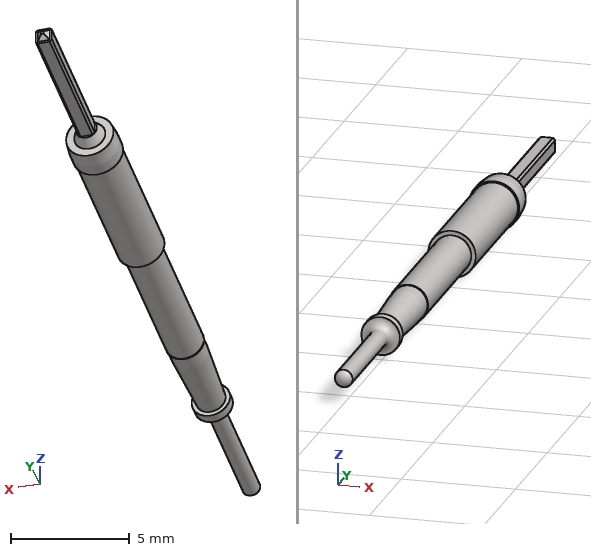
import cadquery as cq
import math

length = 32.5
tip_length = 0.23
round_tip_y = -length / 2
square_tip_y = length / 2
round_pin_end_y = round_tip_y + tip_length
square_pin_end_y = square_tip_y - tip_length
flare_start_y = -10.55
flange_front_y = -10.2
flange_back_y = -9.75
taper_start_y = -6.47
sleeve_end_y = -5.75
body_front_y = 1.05
ring_front_y = 7.67
ring_back_y = 8.25
body_back_y = 8.95
square_cone_y = 9.42

round_pin_radius = 0.4
flange_radius = 0.85
sleeve_radius = 0.85
neck_radius = 0.8
taper_small_radius = 0.65
body_radius = 1.05
ring_radius = 1.1
square_cone_base_radius = 0.68
square_cone_top_radius = 0.45

square_width = 0.7
square_corner_chamfer = 0.1
square_tip_width = 0.13


def turned_body():
    """Domed round pin, flared flange, tapered neck, sleeve and ringed body turned about the Y axis."""
    dome_radius = (round_pin_radius**2 + tip_length**2) / (2 * tip_length)
    dome_mid_radius = round_pin_radius / 2
    dome_mid_y = round_tip_y + dome_radius - math.sqrt(dome_radius**2 - dome_mid_radius**2)
    flare_mid_radius = flange_radius - (flange_radius - round_pin_radius) * math.sqrt(0.5)
    flare_mid_y = flare_start_y + (flange_front_y - flare_start_y) * math.sqrt(0.5)
    profile = (
        cq.Workplane("XY")
        .moveTo(0, round_tip_y)
        .threePointArc((dome_mid_radius, dome_mid_y), (round_pin_radius, round_pin_end_y))
        .lineTo(round_pin_radius, flare_start_y)
        .threePointArc((flare_mid_radius, flare_mid_y), (flange_radius, flange_front_y))
        .lineTo(flange_radius, flange_back_y)
        .lineTo(taper_small_radius, flange_back_y)
        .lineTo(neck_radius, taper_start_y)
        .lineTo(neck_radius, sleeve_end_y)
        .lineTo(sleeve_radius, sleeve_end_y)
        .lineTo(sleeve_radius, body_front_y)
        .lineTo(body_radius, body_front_y)
        .lineTo(body_radius, ring_front_y)
        .lineTo(ring_radius, ring_front_y)
        .lineTo(ring_radius, ring_back_y)
        .lineTo(body_radius, body_back_y)
        .lineTo(square_cone_base_radius, body_back_y)
        .lineTo(square_cone_top_radius, square_cone_y)
        .lineTo(0, square_cone_y)
        .close()
    )
    return profile.revolve(360, (0, 0), (0, 1))


def square_pin():
    """Square pin with chamfered long edges and a blunt pyramid tip."""
    shank = (
        cq.Workplane("XZ", origin=(0, body_back_y, 0))
        .rect(square_width, square_width)
        .extrude(body_back_y - square_pin_end_y)
        .edges("|Y")
        .chamfer(square_corner_chamfer)
    )
    pyramid_base_width = square_width - 2 * square_corner_chamfer
    pyramid = (
        cq.Workplane("XZ", origin=(0, square_pin_end_y, 0))
        .rect(pyramid_base_width, pyramid_base_width)
        .workplane(offset=-tip_length)
        .rect(square_tip_width, square_tip_width)
        .loft()
    )
    return shank.union(pyramid)


result = turned_body().union(square_pin())